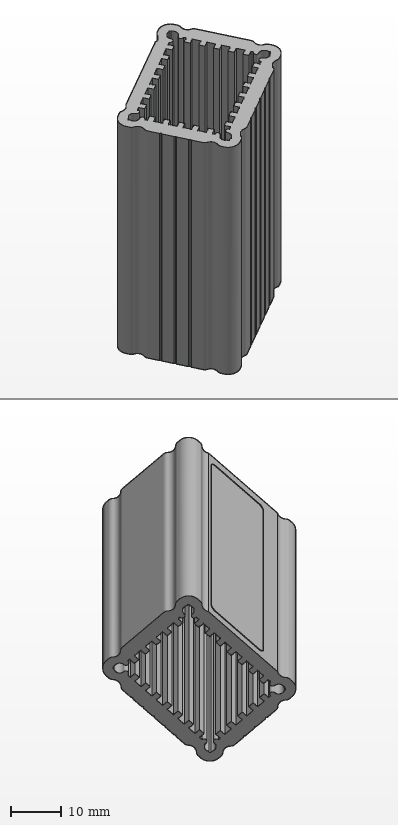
import cadquery as cq
import math

WIDTH = 25.4
DEPTH = 31.75
LENGTH = 60.45
CORNER_RADIUS = 2.54
X_WALL = 3.175
Y_WALL = 3.1
HALF_X = WIDTH / 2
HALF_Y = DEPTH / 2
CAVITY_X = HALF_X - X_WALL
CAVITY_Y = HALF_Y - Y_WALL

RIB_PITCH = 3.048
RIB_WIDTH = 1.27
RIB_HEIGHT = 1.27
RIBS_ON_X_WALLS = 7
RIBS_ON_Y_WALLS = 5

SCREW_RADIUS = 1.15
NOTCH_RADIUS = 0.22
LIP_RADIUS = 0.57
LIP_OFFSET = SCREW_RADIUS + LIP_RADIUS

HOLLOW_DEPTH = 0.762
HOLLOW_HALF_WIDTH = 1.905
X_SHOULDER_RADIUS = 1.05
Y_SHOULDER_RADIUS = 1.27
HOLLOW_X = RIBS_ON_Y_WALLS * RIB_PITCH / 2
HOLLOW_Y = RIBS_ON_X_WALLS * RIB_PITCH / 2

V_HALF_WIDTH = 0.28
V_DEPTH = 0.15
V_ON_Y_FACE = 3
V_ON_X_FACE = 5

FACE_DROP = 0.508
LABEL_WIDTH = 14.7
LABEL_LENGTH = 55.4
LABEL_CENTER_Y = 1.6
LABEL_CORNER_RADIUS = 1.2
LABEL_DEPTH = 0.1

OVERCUT = 1.0


def pitched(count):
    """Positions of evenly pitched features centred on zero."""
    return [(i - (count - 1) / 2) * RIB_PITCH for i in range(count)]


def bar(size_x, size_y, x, y):
    """Full-length rectangular bar centred at (x, y)."""
    return cq.Workplane("XY").box(size_x, size_y, LENGTH).translate((x, y, 0))


def rod(radius, x, y):
    """Full-length round rod centred at (x, y)."""
    return cq.Workplane("XY").circle(radius).extrude(LENGTH / 2, both=True).translate((x, y, 0))


def on_face(cutter, angle, face_distance, along):
    """Move a cutter drawn at the origin for a +Y face onto the face turned by angle."""
    moved = cutter.translate((along, face_distance, 0))
    return moved.rotate((0, 0, 0), (0, 0, 1), angle)


def hollow_cutter(shoulder_radius):
    """Hollow below y = 0, made of two shoulder arcs and a tangent bottom arc."""
    slope = 2 * math.atan(HOLLOW_DEPTH / HOLLOW_HALF_WIDTH)
    turn_x = HOLLOW_HALF_WIDTH - shoulder_radius * math.sin(slope)
    turn_y = -shoulder_radius * (1 - math.cos(slope))
    mid_x = HOLLOW_HALF_WIDTH - shoulder_radius * math.sin(slope / 2)
    mid_y = -shoulder_radius * (1 - math.cos(slope / 2))
    return (
        cq.Workplane("XY")
        .moveTo(-HOLLOW_HALF_WIDTH, 0)
        .threePointArc((-mid_x, mid_y), (-turn_x, turn_y))
        .threePointArc((0, -HOLLOW_DEPTH), (turn_x, turn_y))
        .threePointArc((mid_x, mid_y), (HOLLOW_HALF_WIDTH, 0))
        .lineTo(HOLLOW_HALF_WIDTH, OVERCUT)
        .lineTo(-HOLLOW_HALF_WIDTH, OVERCUT)
        .close()
        .extrude(LENGTH / 2, both=True)
    )


def v_cutter():
    """Triangular groove with its mouth on y = 0."""
    points = [(-V_HALF_WIDTH, 0), (0, -V_DEPTH), (V_HALF_WIDTH, 0)]
    return cq.Workplane("XY").polyline(points).close().extrude(LENGTH / 2, both=True)


def make_cavity():
    """Ribbed cavity with the four notched screw channels."""
    cavity = bar(2 * CAVITY_X, 2 * CAVITY_Y, 0, 0)
    for side_x in (-1, 1):
        for side_y in (-1, 1):
            corner_x = side_x * CAVITY_X
            corner_y = side_y * CAVITY_Y
            cavity = cavity.union(rod(SCREW_RADIUS, corner_x, corner_y))
            notch_offset = SCREW_RADIUS * math.sqrt(0.5)
            notch = rod(NOTCH_RADIUS, corner_x + side_x * notch_offset, corner_y + side_y * notch_offset)
            cavity = cavity.union(notch)
            cavity = cavity.cut(rod(LIP_RADIUS, corner_x - side_x * LIP_OFFSET, corner_y))
            cavity = cavity.cut(rod(LIP_RADIUS, corner_x, corner_y - side_y * LIP_OFFSET))
    for side in (-1, 1):
        for y in pitched(RIBS_ON_X_WALLS):
            cavity = cavity.cut(bar(2 * RIB_HEIGHT, RIB_WIDTH, side * CAVITY_X, y))
        for x in pitched(RIBS_ON_Y_WALLS):
            cavity = cavity.cut(bar(RIB_WIDTH, 2 * RIB_HEIGHT, x, side * CAVITY_Y))
    return cavity


def cut_hollows(body):
    """Two hollows on each of the four faces."""
    x_hollow = hollow_cutter(X_SHOULDER_RADIUS)
    y_hollow = hollow_cutter(Y_SHOULDER_RADIUS)
    for side in (-1, 1):
        for angle in (0, 180):
            body = body.cut(on_face(y_hollow, angle, HALF_Y, side * HOLLOW_X))
        for angle in (90, 270):
            body = body.cut(on_face(x_hollow, angle, HALF_X, side * HOLLOW_Y))
    return body


def cut_v_grooves(body):
    """V grooves on the -Y face and the +X face."""
    groove = v_cutter()
    for along in pitched(V_ON_Y_FACE):
        body = body.cut(on_face(groove, 180, HALF_Y, along))
    for along in pitched(V_ON_X_FACE):
        body = body.cut(on_face(groove, 270, HALF_X, along))
    return body


def cut_label_face(body):
    """Lower the -X face between its hollows and sink the label pocket into it."""
    body = body.cut(bar(2 * FACE_DROP, 2 * HOLLOW_Y, -HALF_X, 0))
    pocket = (
        cq.Workplane("XY")
        .box(2 * LABEL_DEPTH, LABEL_WIDTH, LABEL_LENGTH)
        .edges("|X")
        .fillet(LABEL_CORNER_RADIUS)
        .translate((FACE_DROP - HALF_X, LABEL_CENTER_Y, 0))
    )
    return body.cut(pocket)


body = bar(WIDTH, DEPTH, 0, 0).edges("|Z").fillet(CORNER_RADIUS)
body = body.cut(make_cavity())
body = cut_hollows(body)
body = cut_v_grooves(body)
result = cut_label_face(body)